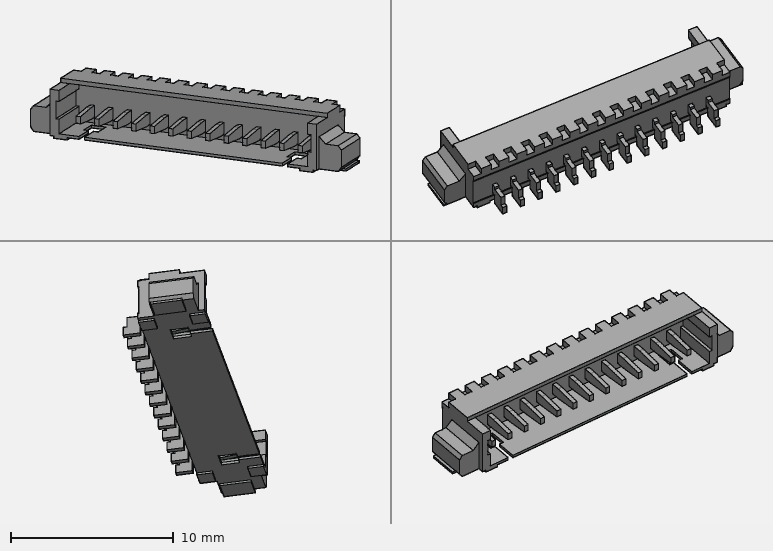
import cadquery as cq


overall_length = 21.0
overall_height = 3.4

housing_length = 18.02
housing_depth = 4.2
housing_base = 0.15
floor_top = 0.34
side_wall = 0.6
cavity_depth = 3.0
roof_underside = 3.13
roof_front = 1.58

groove_depth = 0.2
groove_bottom = 1.28
groove_top = 2.42

relief_depth = 0.06
relief_bottom = 0.52
relief_top = 2.52

slot_neck_width = 0.35
slot_center = 6.87
slot_neck_length = 1.39
slot_head_width = 0.97
slot_head_length = 1.13

terminal_count = 13
row_length = 15.0
terminal_width = 0.3
blade_tip = 0.88
blade_taper_start = 2.44
blade_bottom = 0.71
blade_top = 1.47
blade_tip_bevel = 0.15
shank_end = 4.4
leg_front = 4.37
leg_rear = 5.19
leg_top = 1.28
toe_rear = 5.42
toe_top = 0.59

notch_width = 0.55
notch_depth = 0.71
notch_height = 0.45

ear_front = 0.38
ear_rear = 3.17
ear_top = 1.8
ear_ramp_top = 2.23
ear_ramp_run = 0.45
ear_bevel_run = 0.2
ear_top_bevel = 0.25
ear_bottom_bevel = 0.3

tab_front = 1.1
tab_rear = 3.07
tab_length = 1.22

foot_outset = 0.25
foot_length = 0.9
foot_depth = 0.99

half_length = overall_length / 2
half_housing = housing_length / 2
cavity_half = half_housing - side_wall
pitch = row_length / (terminal_count - 1)


def block(x_range, y_range, z_range):
    """Box given by its limits along each axis."""
    (x0, x1), (y0, y1), (z0, z1) = x_range, y_range, z_range
    return cq.Workplane("XY").box(x1 - x0, y1 - y0, z1 - z0, centered=False).translate((x0, y0, z0))


def both_ends(right_end):
    """The given right-hand solid together with its mirror image at the left end."""
    return right_end.union(right_end.mirror("YZ"))


def row_positions(count):
    """X positions of a centred row at the terminal pitch."""
    return [(i - (count - 1) / 2) * pitch for i in range(count)]


def housing_shell():
    """Box with an open-fronted cavity, an open top at the front and a rear relief."""
    ends = (-half_housing, half_housing)
    shell = block(ends, (0, housing_depth), (housing_base, overall_height))
    shell = shell.cut(block(ends, (0, roof_front), (roof_underside, overall_height)))
    shell = shell.cut(
        block((-cavity_half, cavity_half), (0, cavity_depth), (floor_top, roof_underside))
    )
    groove_half = cavity_half + groove_depth
    shell = shell.cut(
        block((-groove_half, groove_half), (0, cavity_depth), (groove_bottom, groove_top))
    )
    relief_front = housing_depth - relief_depth
    return shell.cut(block(ends, (relief_front, housing_depth), (relief_bottom, relief_top)))


def floor_slots():
    """T-shaped cutters that open to the front edge of the floor."""
    thickness = (housing_base, floor_top)
    neck_half = slot_neck_width / 2
    head_half = slot_head_width / 2
    head_rear = slot_neck_length + slot_head_length
    neck = block((slot_center - neck_half, slot_center + neck_half), (0, slot_neck_length), thickness)
    head = block(
        (slot_center - head_half, slot_center + head_half), (slot_neck_length, head_rear), thickness
    )
    return both_ends(neck.union(head))


def roof_notch(x):
    """Cutter for one notch in the rear edge of the roof."""
    return block(
        (x - notch_width / 2, x + notch_width / 2),
        (housing_depth - notch_depth, housing_depth),
        (overall_height - notch_height, overall_height),
    )


def terminal(x):
    """Tapered blade in the cavity, a shank through the rear wall and a stepped solder leg."""
    outline = [
        (blade_tip, blade_bottom + blade_tip_bevel),
        (blade_taper_start, blade_bottom),
        (leg_front, blade_bottom),
        (leg_front, 0),
        (toe_rear, 0),
        (toe_rear, toe_top),
        (leg_rear, toe_top),
        (leg_rear, leg_top),
        (shank_end, leg_top),
        (shank_end, blade_top),
        (blade_taper_start, blade_top),
        (blade_tip, blade_top - blade_tip_bevel),
    ]
    return (
        cq.Workplane("YZ").polyline(outline).close().extrude(terminal_width)
        .translate((x - terminal_width / 2, 0, 0))
    )


def right_ear():
    """Bevelled block on the end face with a ramp up to the housing and a solder tab below."""
    outline = [
        (half_housing, housing_base),
        (half_length - ear_bevel_run, housing_base),
        (half_length, housing_base + ear_bottom_bevel),
        (half_length, ear_top - ear_top_bevel),
        (half_length - ear_bevel_run, ear_top),
        (half_housing + ear_ramp_run, ear_top),
        (half_housing, ear_ramp_top),
    ]
    body = (
        cq.Workplane("XZ").polyline(outline).close().extrude(ear_front - ear_rear)
        .translate((0, ear_front, 0))
    )
    tab = block((half_length - tab_length, half_length), (tab_front, tab_rear), (0, housing_base))
    return body.union(tab)


def right_feet():
    """Front and rear standoff feet under one end of the housing."""
    outer = half_housing - foot_outset
    across = (outer - foot_length, outer)
    front = block(across, (0, foot_depth), (0, housing_base))
    rear = block(across, (housing_depth - foot_depth, housing_depth), (0, housing_base))
    return front.union(rear)


result = housing_shell().cut(floor_slots())

for notch_x in row_positions(terminal_count + 2):
    result = result.cut(roof_notch(notch_x))

for terminal_x in row_positions(terminal_count):
    result = result.union(terminal(terminal_x))

result = result.union(both_ends(right_ear())).union(both_ends(right_feet()))